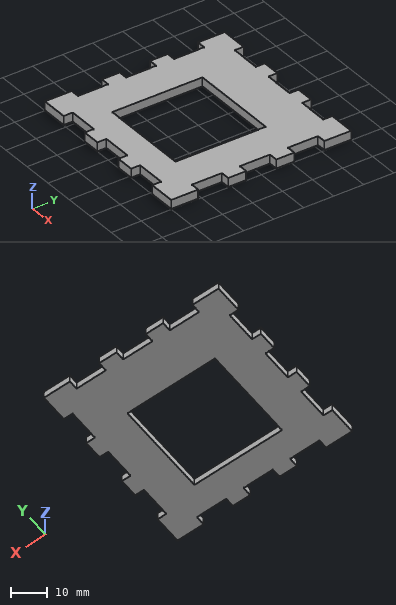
import cadquery as cq

plate_side = 60.0
thickness = 3.0

notch_depth = thickness
notch_width = 10.0
tab_width = 6.0
notches_per_edge = 3
notch_pitch = notch_width + tab_width

window_side = 30.0
window_shift_y = -3.0


def make_plate():
    return cq.Workplane("XY").rect(plate_side, plate_side).extrude(thickness)


def make_edge_notches():
    """Cutters for the notches along the +Y edge, evenly spaced about its middle."""
    row_y = (plate_side - notch_depth) / 2
    first_x = -notch_pitch * (notches_per_edge - 1) / 2
    centers = [(first_x + i * notch_pitch, row_y) for i in range(notches_per_edge)]
    return (
        cq.Workplane("XY")
        .pushPoints(centers)
        .rect(notch_width, notch_depth)
        .extrude(thickness)
    )


def make_window():
    return (
        cq.Workplane("XY")
        .center(0, window_shift_y)
        .rect(window_side, window_side)
        .extrude(thickness)
    )


result = make_plate().cut(make_window())
edge_notches = make_edge_notches()
for edge_angle in (0, 90, 180, 270):
    result = result.cut(edge_notches.rotate((0, 0, 0), (0, 0, 1), edge_angle))